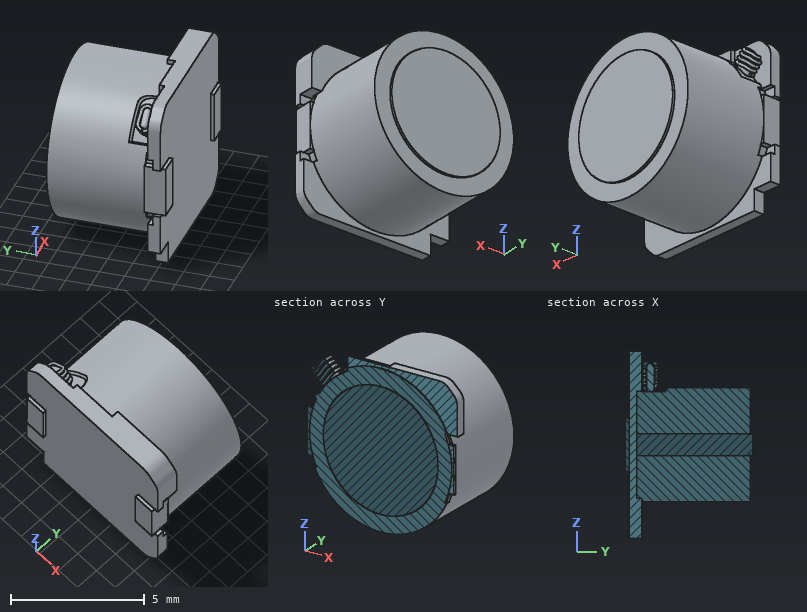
import cadquery as cq
import math


base_width = 7.0
half_base = base_width / 2
base_thickness = 0.505
corner_chamfer = 0.595
corner_round = 0.6
index_notch = 0.9
low_lip_top = 0.7
high_lip_top = 1.0
lip_step_x = 0.36

ring_radius = 3.34
ring_end = 4.55
core_radius = 2.6
core_end = 4.655
spigot_radius = 3.25
spigot_bottom = 0.3

window_wall_x = -1.51
window_wall_z = 1.645
window_floor_top = 1.36
window_corner_round = 0.56

terminal_width = 2.0
half_terminal = terminal_width / 2
terminal_top = low_lip_top
pad_length = 0.875
pad_thickness = 0.15
terminal_face_x = ring_radius
terminal_back_x = math.sqrt(spigot_radius**2 - half_terminal**2)
recess_width = 2.8
half_recess = recess_width / 2
lip_side_z = half_recess

post_radius = 0.155
post_end_round = 0.11

wire_radius = 0.07
turn_bend = 0.225
turn_straight = 0.505
turn_pitch = 0.18
half_turns = 8
coil_inner_depth = spigot_radius + wire_radius
coil_center_y = 0.81
coil_center_along = 0.035


def box(x_range, y_range, z_range):
    """Axis-aligned box between the given limits."""
    size = [end - start for start, end in (x_range, y_range, z_range)]
    return (
        cq.Workplane("XY")
        .box(*size, centered=False)
        .translate((x_range[0], y_range[0], z_range[0]))
    )


def cylinder(radius, y_start, y_end):
    """Cylinder about the Y axis."""
    return cq.Workplane("XZ", origin=(0, y_start, 0)).circle(radius).extrude(y_start - y_end)


def tube(outer_radius, inner_radius, y_start, y_end):
    """Hollow cylinder about the Y axis."""
    return cylinder(outer_radius, y_start, y_end).cut(cylinder(inner_radius, y_start, y_end))


def base_blank(height):
    """Base outline with three chamfered, rounded corners, raised to the given height."""
    blank = box((-half_base, half_base), (0, height), (-half_base, half_base))
    blank = blank.edges("|Y").edges(">X or >Z").chamfer(corner_chamfer)
    return blank.edges("|Y").edges("not (<X and <Z)").fillet(corner_round)


def terminal_recess():
    """Space beside the spigot, open through both X sides of the base and ring."""
    span = box(
        (-half_base, half_base), (spigot_bottom, terminal_top), (-half_recess, half_recess)
    )
    return span.cut(cylinder(spigot_radius, spigot_bottom, terminal_top))


def make_base():
    blank = base_blank(high_lip_top)
    plate = box((-half_base, half_base), (0, base_thickness), (-half_base, half_base))
    low_lip = box((window_wall_x, lip_step_x), (0, low_lip_top), (lip_side_z, half_base))
    high_lip = box((lip_step_x, half_base), (0, high_lip_top), (lip_side_z, half_base))
    body = blank.intersect(plate.union(low_lip).union(high_lip))

    notch_end = index_notch - half_base
    body = body.cut(box((-half_base, notch_end), (0, base_thickness), (-half_base, notch_end)))

    body = body.cut(cylinder(ring_radius, base_thickness, high_lip_top))
    body = body.cut(cylinder(spigot_radius, spigot_bottom, base_thickness))
    body = body.cut(terminal_recess())
    for x_range in ((-half_base, -terminal_back_x), (terminal_back_x, half_base)):
        body = body.cut(box(x_range, (0, base_thickness), (-half_terminal, half_terminal)))
    return body


def wire_window():
    """Shallow recess in the ring: round floor, sloped top and one rounded corner."""
    outside = base_width
    rise = outside - spigot_radius
    profile = [
        (spigot_radius, base_thickness),
        (spigot_radius, window_floor_top),
        (outside, window_floor_top + rise),
        (outside, base_thickness),
    ]
    swept = cq.Workplane("XY").polyline(profile).close().revolve(360, (0, 0, 0), (0, 1, 0))
    corner = box(
        (-outside, window_wall_x), (base_thickness, outside), (window_wall_z, outside)
    )
    window = swept.intersect(corner)
    return window.faces(">X").edges(">Y").edges().fillet(window_corner_round)


def make_ring():
    body = tube(ring_radius, core_radius, base_thickness, ring_end)
    body = body.union(tube(spigot_radius, core_radius, spigot_bottom, base_thickness))
    return body.cut(wire_window()).cut(terminal_recess())


def make_core():
    return cylinder(core_radius, spigot_bottom, core_end)


def make_terminal(side):
    """Pad under the base with a leg up its side; side is -1 or 1 along X."""
    z_range = (-half_terminal, half_terminal)
    pad = box((terminal_face_x - pad_length, terminal_face_x), (-pad_thickness, 0), z_range)
    leg = box((terminal_back_x, terminal_face_x), (0, terminal_top), z_range)
    leg = leg.cut(cylinder(spigot_radius, spigot_bottom, terminal_top))
    body = pad.union(leg)
    return body if side > 0 else body.mirror("YZ")


def coil_point(along, up, depth):
    """Point given along the coil, up from its middle and outward from the Y axis."""
    along += coil_center_along
    return cq.Vector(
        -(depth + along) / math.sqrt(2),
        coil_center_y + up,
        (depth - along) / math.sqrt(2),
    )


def wire_path():
    """Flat round bends joined by straight runs, each run stepping outward by half a pitch."""
    half_straight = turn_straight / 2
    edges = []
    for bend in range(half_turns + 1):
        side = 1 if (half_turns - bend) % 2 == 0 else -1
        depth = coil_inner_depth + bend * turn_pitch / 2
        center = side * half_straight
        quarter = turn_bend / math.sqrt(2)
        rise = side * turn_bend
        tip = coil_point(center + side * turn_bend, 0, depth)
        bend_start = coil_point(center, rise, depth)
        bend_end = coil_point(center, -rise, depth)
        if bend == 0:
            middle = coil_point(center + side * quarter, -side * quarter, depth)
            edges.append(cq.Edge.makeThreePointArc(tip, middle, bend_end))
            continue
        edges.append(cq.Edge.makeLine(edges[-1].endPoint(), bend_start))
        if bend == half_turns:
            middle = coil_point(center + side * quarter, side * quarter, depth)
            edges.append(cq.Edge.makeThreePointArc(bend_start, middle, tip))
        else:
            edges.append(cq.Edge.makeThreePointArc(bend_start, tip, bend_end))
    return cq.Wire.assembleEdges(edges)


def make_wire():
    path = wire_path()
    start_plane = cq.Plane(origin=path.startPoint(), normal=path.tangentAt(0))
    section = cq.Workplane(start_plane).circle(wire_radius)
    return section.sweep(cq.Workplane(obj=path), transition="transformed")


def make_post():
    """Slot-shaped post with a rounded end, standing on the window floor inside the coil."""
    post_plane = cq.Plane(origin=coil_point(0, 0, 0), xDir=(-1, 0, -1), normal=(-1, 0, 1))
    post_end = coil_inner_depth + half_turns * turn_pitch / 2
    post_length = turn_straight + 2 * post_radius
    post = cq.Workplane(post_plane).slot2D(post_length, 2 * post_radius).extrude(post_end)
    outward = cq.selectors.DirectionMinMaxSelector(post_plane.zDir)
    post = post.faces(outward).edges().fillet(post_end_round)
    return post.cut(cylinder(spigot_radius, 0, ring_end))


base = make_base()
ring = make_ring()
core = make_core()
post = make_post()
wire = make_wire()
terminals = [make_terminal(side) for side in (-1, 1)]

result = cq.Compound.makeCompound(
    [
        base.val(),
        ring.val(),
        core.val(),
        post.val(),
        wire.val(),
        *[terminal.val() for terminal in terminals],
    ]
)